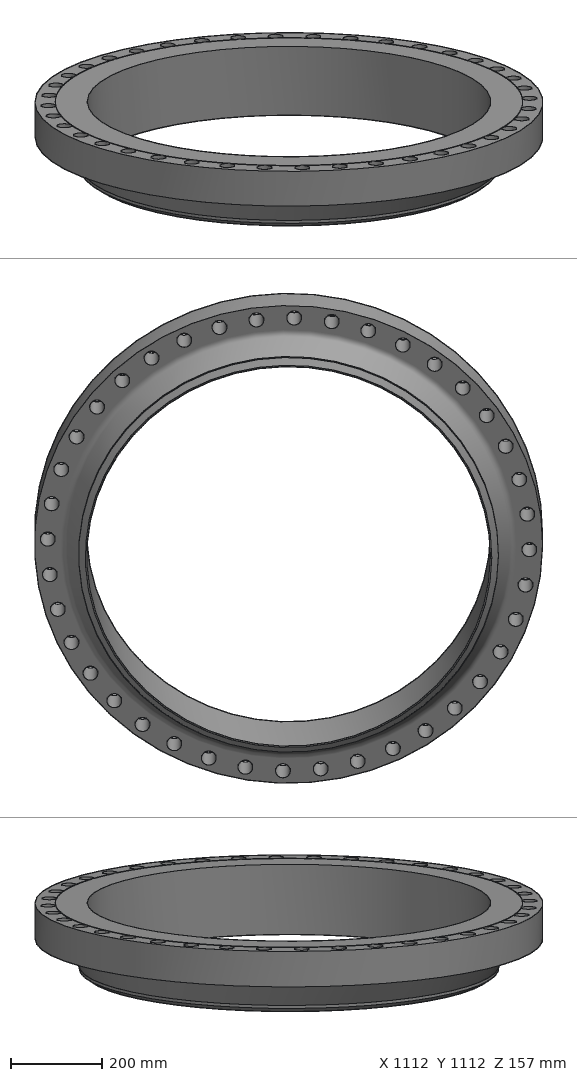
import cadquery as cq
import math

outer_radius = 556.0
bore_radius = 441.0
total_height = 157.0

flange_thickness = 80.0
raised_face_radius = 511.0
raised_face_height = 1.0

hub_root_radius = 489.0
hub_end_radius = 459.0
weld_land_top = 17.0
bevel_height = 10.0
bevel_end_radius = 445.0
hub_fillet_radius = 15.0

bolt_count = 40
bolt_circle_radius = 527.0
bolt_hole_diameter = 32.0

flange_bottom = total_height - flange_thickness
flange_top = total_height - raised_face_height


def hub_fillet_points():
    """Start, middle and end of the arc tangent to the hub cone and the flange underside."""
    slope = math.atan2(flange_bottom - weld_land_top, hub_root_radius - hub_end_radius)
    tangent_length = hub_fillet_radius * math.tan(slope / 2)
    center_x = hub_root_radius + tangent_length
    center_z = flange_bottom - hub_fillet_radius

    def arc_point(angle):
        return (
            center_x + hub_fillet_radius * math.cos(angle),
            center_z + hub_fillet_radius * math.sin(angle),
        )

    flange_angle = math.pi / 2
    return [arc_point(flange_angle + turn) for turn in (slope, slope / 2, 0)]


def flange_body():
    """Revolve the half section about the Z axis."""
    fillet_start, fillet_middle, fillet_end = hub_fillet_points()
    return (
        cq.Workplane("XZ")
        .moveTo(bore_radius, 0)
        .lineTo(bevel_end_radius, 0)
        .lineTo(hub_end_radius, bevel_height)
        .lineTo(hub_end_radius, weld_land_top)
        .lineTo(*fillet_start)
        .threePointArc(fillet_middle, fillet_end)
        .lineTo(outer_radius, flange_bottom)
        .lineTo(outer_radius, flange_top)
        .lineTo(raised_face_radius, flange_top)
        .lineTo(raised_face_radius, total_height)
        .lineTo(bore_radius, total_height)
        .close()
        .revolve(360, (0, 0, 0), (0, 1, 0))
    )


def bolt_holes():
    """Cylinders through the flange, evenly spaced on the bolt circle."""
    return (
        cq.Workplane("XY", origin=(0, 0, flange_bottom))
        .polarArray(bolt_circle_radius, 0, 360, bolt_count)
        .circle(bolt_hole_diameter / 2)
        .extrude(flange_thickness)
    )


result = flange_body().cut(bolt_holes()).translate((0, 0, -total_height / 2))